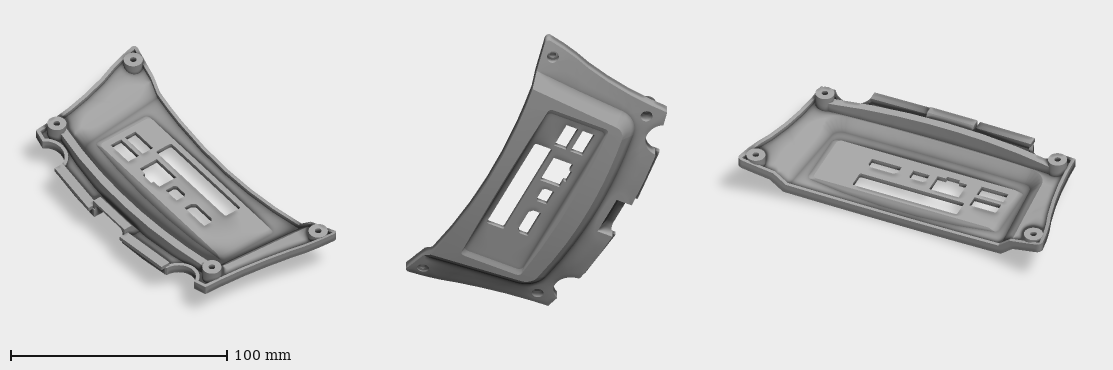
import cadquery as cq


SKIN = 2.3
RIM_WIDTH = 1.7
RIM_HEIGHT = 2.3
FILL_TOP = 46.1
SIDE_REACH = 92.2
FRONT_REACH = -7.7
BACK_REACH = 92.2

BACK_CORNER = (-77.1, 77.7)
BACK_MID_Y = 70.5
SIDE_UPPER_MID = (-75.1, 66.0)
SIDE_INFLECTION = (-71.3, 53.1)
SIDE_LOWER_MID = (-66.2, 29.3)
FRONT_CORNER = (-64.4, 9.7)
NOTCH_START = (-57.5, 8.3)
NOTCH_TOP = (-49.8, 13.0)
NOTCH_END = (-41.3, 4.9)
CORNER_RADIUS = 1.8

WING_FRONT_Z = 5.0
WING_FRONT_RADIUS = 422.5
WING_BEND_Y = 18.5
WING_BACK_Y = 76.8
WING_BACK_Z = 1.0
WING_BACK_RADIUS = 224.3

TROUGH_RADIUS = 399.4
TROUGH_TAPER = 47.0
TROUGH_WALL_DROP = 3.4
TROUGH_PLUG_Z = 1.5
TROUGH_PLUG_HEIGHT = 13.8
TROUGH_FRONT_X = 45.6
TROUGH_BACK_X = 48.8
TROUGH_BACK_Y = 72.2
TROUGH_FRONT_Y = 22.9
TROUGH_CORNER_Y = 29.0
TROUGH_CORNER_RADIUS = 1.5

PANEL_CENTRE_Y = 47.0
PANEL_TOP_Z = 6.1
PANEL_TOP = (91.2, 29.5)
PANEL_BASE = (129.0, 36.5)
PANEL_CORNER = 2.3

LONG_SLOT = (-26.1, 26.7, 50.2, 59.1)
LONG_SLOT_CORNER = 0.9
DOUBLE_PORTS = [(-42.2, -28.7, 44.5, 50.7), (-42.2, -28.7, 36.3, 42.4)]
NETWORK_PORT = (-22.0, -7.0, 37.6, 47.6)
NETWORK_LATCH = (-17.8, -11.2, 36.3, 37.6)
SMALL_PORT = (-3.4, 4.9, 38.5, 44.2)
SMALL_PORT_CORNER = 1.0
VIDEO_PORT = (10.8, 25.8, 38.5, 44.2)
VIDEO_PORT_CORNER = 1.7

BOSS_POSITIONS = [(70.2, 71.0), (58.8, 17.7)]
BOSS_DIAMETER = 8.9
BOSS_TOP_Z = 18.6
SCREW_HOLE = 3.0
SCREW_HEAD = 5.5
SCREW_SEAT_Z = 13.8

RIB_TOP_Z = 15.7
RIB_WIDTH = 4.0
RIB_FRONT_MID_Y = 11.4
RIB_FRONT_END_Y = 17.0
RIB_HALF_LENGTH = 56.0

HOOK_OUTER = (40.5, 2.3)
HOOK_INNER = (11.8, 0.0)
HOOK_DEPTH = 4.8
HOOK_OVERHANG = 2.2
HOOK_BOTTOM = 4.1
HOOK_TOP = 6.3

HOOD_WIDTH = 23.7
HOOD_WALL = 1.4
HOOD_FRONT_Y = 2.8
HOOD_RIDGE_Y = 6.9
HOOD_BACK_Y = 11.4
HOOD_TOP_Z = 14.6
HOOD_BACK_Z = 8.5
HOOD_CORNER = 2.5


def arc_height(x, low_z, radius):
    """Height at x of an upward-curving arc whose lowest point is at low_z."""
    return low_z + radius - (radius**2 - x**2) ** 0.5


def above_arc(y, low_z, radius):
    """Wire at y enclosing everything above an arc."""
    end_z = arc_height(SIDE_REACH, low_z, radius)
    return (
        cq.Workplane("XZ", origin=(0, y, 0))
        .moveTo(-SIDE_REACH, end_z)
        .threePointArc((0, low_z), (SIDE_REACH, end_z))
        .lineTo(SIDE_REACH, FILL_TOP)
        .lineTo(-SIDE_REACH, FILL_TOP)
        .close()
        .val()
    )


def ruled(first, second):
    return cq.Workplane(cq.Solid.makeLoft([first, second], True))


def above_wings():
    front = above_arc(FRONT_REACH, WING_FRONT_Z, WING_FRONT_RADIUS)
    bend = above_arc(WING_BEND_Y, WING_FRONT_Z, WING_FRONT_RADIUS)
    back = above_arc(WING_BACK_Y, WING_BACK_Z, WING_BACK_RADIUS)
    end = above_arc(BACK_REACH, WING_BACK_Z, WING_BACK_RADIUS)
    return ruled(front, bend).union(ruled(bend, back)).union(ruled(back, end))


def above_trough():
    return ruled(
        above_arc(FRONT_REACH, 0, TROUGH_RADIUS),
        above_arc(BACK_REACH, 0, TROUGH_RADIUS),
    )


def trough_plug():
    """Block with sloped walls that opens past the back edge."""
    lean = (TROUGH_BACK_X - TROUGH_FRONT_X) / (TROUGH_BACK_Y - TROUGH_CORNER_Y)
    end_x = TROUGH_FRONT_X + lean * (BACK_REACH - TROUGH_CORNER_Y)
    footprint = (
        cq.Workplane("XY", origin=(0, 0, TROUGH_PLUG_Z))
        .moveTo(-TROUGH_FRONT_X, TROUGH_CORNER_Y)
        .threePointArc((0, TROUGH_FRONT_Y), (TROUGH_FRONT_X, TROUGH_CORNER_Y))
        .lineTo(end_x, BACK_REACH)
        .lineTo(-end_x, BACK_REACH)
        .close()
    )
    straight_block = footprint.extrude(TROUGH_PLUG_HEIGHT)
    rounded_base = straight_block.edges("|Z").fillet(TROUGH_CORNER_RADIUS).faces("<Z").wires()
    return rounded_base.toPending().extrude(TROUGH_PLUG_HEIGHT, taper=-TROUGH_TAPER)


def mirrored_x(point):
    return (-point[0], point[1])


def outline():
    """Plan shape of the part, before its back corners are rounded."""
    hook_root_outer = (-HOOK_OUTER[0], HOOK_OUTER[1] + HOOK_OVERHANG)
    front_mid = (0, HOOK_INNER[1] + HOOK_OVERHANG)
    return (
        cq.Workplane("XY")
        .moveTo(*BACK_CORNER)
        .threePointArc(SIDE_UPPER_MID, SIDE_INFLECTION)
        .threePointArc(SIDE_LOWER_MID, FRONT_CORNER)
        .lineTo(*NOTCH_START)
        .threePointArc(NOTCH_TOP, NOTCH_END)
        .lineTo(*hook_root_outer)
        .threePointArc(front_mid, mirrored_x(hook_root_outer))
        .lineTo(*mirrored_x(NOTCH_END))
        .threePointArc(mirrored_x(NOTCH_TOP), mirrored_x(NOTCH_START))
        .lineTo(*mirrored_x(FRONT_CORNER))
        .threePointArc(mirrored_x(SIDE_LOWER_MID), mirrored_x(SIDE_INFLECTION))
        .threePointArc(mirrored_x(SIDE_UPPER_MID), mirrored_x(BACK_CORNER))
        .threePointArc((0, BACK_MID_Y), BACK_CORNER)
        .close()
    )


def shell():
    """Skin with a rim along its edge, and the solid block that bounds it from below."""
    wings = above_wings()
    trough = above_trough()
    plug = trough_plug()
    prism = outline().extrude(FILL_TOP).edges("|Z and (<X or >X)").fillet(CORNER_RADIUS)
    inset_prism = outline().offset2D(-RIM_WIDTH).extrude(FILL_TOP)

    outer = wings.union(trough.intersect(plug.translate((0, 0, -TROUGH_WALL_DROP)))).intersect(prism)
    lift = (0, 0, SKIN)
    inner = wings.translate(lift).union(trough.translate(lift).intersect(plug))
    skin = outer.cut(inner.intersect(inset_prism)).cut(inner.translate((0, 0, RIM_HEIGHT)))
    return skin, outer


def panel_block():
    """Flat-topped block with sloped sides, filling the panel's bulge."""
    base = cq.Sketch().rect(*PANEL_BASE).vertices().fillet(PANEL_CORNER)
    top = cq.Sketch().rect(*PANEL_TOP).vertices().fillet(PANEL_CORNER)
    return (
        cq.Workplane("XY", origin=(0, PANEL_CENTRE_Y, 0))
        .placeSketch(base, top.moved(cq.Location(cq.Vector(0, 0, PANEL_TOP_Z))))
        .loft()
    )


def opening(bounds):
    left, right, bottom, top = bounds
    return (
        cq.Workplane("XY")
        .center((left + right) / 2, (bottom + top) / 2)
        .rect(right - left, top - bottom)
        .extrude(FILL_TOP)
    )


def openings():
    cuts = opening(LONG_SLOT).edges("|Z").fillet(LONG_SLOT_CORNER)
    for bounds in DOUBLE_PORTS + [NETWORK_PORT, NETWORK_LATCH]:
        cuts = cuts.union(opening(bounds))
    cuts = cuts.union(opening(SMALL_PORT).edges("|Z and >Y").chamfer(SMALL_PORT_CORNER))
    return cuts.union(opening(VIDEO_PORT).edges("|Z and >Y").chamfer(VIDEO_PORT_CORNER))


def boss_points():
    return [(side * x, y) for x, y in BOSS_POSITIONS for side in (-1, 1)]


def bosses():
    return cq.Workplane("XY").pushPoints(boss_points()).circle(BOSS_DIAMETER / 2).extrude(BOSS_TOP_Z)


def screw_holes():
    centres = cq.Workplane("XY").pushPoints(boss_points())
    return centres.circle(SCREW_HOLE / 2).extrude(FILL_TOP).union(
        centres.circle(SCREW_HEAD / 2).extrude(SCREW_SEAT_Z)
    )


def rib():
    front_end = (RIB_HALF_LENGTH, RIB_FRONT_END_Y)
    back_end = (RIB_HALF_LENGTH, RIB_FRONT_END_Y + RIB_WIDTH)
    return (
        cq.Workplane("XY")
        .moveTo(*mirrored_x(front_end))
        .threePointArc((0, RIB_FRONT_MID_Y), front_end)
        .lineTo(*back_end)
        .threePointArc((0, RIB_FRONT_MID_Y + RIB_WIDTH), mirrored_x(back_end))
        .close()
        .extrude(RIB_TOP_Z)
    )


def hook_section(tip):
    x, tip_y = tip
    underside = arc_height(x, WING_FRONT_Z, WING_FRONT_RADIUS)
    back_y = tip_y + HOOK_DEPTH
    corners = [(tip_y, HOOK_BOTTOM), (tip_y, HOOK_TOP), (back_y, HOOK_TOP), (back_y, HOOK_BOTTOM)]
    return cq.Wire.makePolygon([cq.Vector(x, y, underside + z) for y, z in corners], close=True)


def hooks():
    right = ruled(hook_section(HOOK_INNER), hook_section(HOOK_OUTER))
    return right.union(right.mirror("YZ"))


def hood_profile(front_y, inset):
    """Side profile of the hood, shrunk by inset at its top and back."""
    return (
        cq.Workplane("YZ")
        .moveTo(front_y, 0)
        .lineTo(front_y, HOOD_TOP_Z - inset)
        .lineTo(HOOD_RIDGE_Y - inset / 2, HOOD_TOP_Z - inset)
        .lineTo(HOOD_BACK_Y - inset, HOOD_BACK_Z - inset / 2)
        .lineTo(HOOD_BACK_Y - inset, 0)
        .close()
    )


def hood():
    return hood_profile(HOOD_FRONT_Y, 0).extrude(HOOD_WIDTH / 2, both=True)


def hood_opening():
    block = hood_profile(FRONT_REACH, HOOD_WALL).extrude(HOOD_WIDTH / 2 - HOOD_WALL, both=True)
    return block.faces(">Z").edges("|Y").fillet(HOOD_CORNER)


skin, outer = shell()
panel = panel_block()
result = skin.union(panel.union(bosses()).union(rib()).union(hood()).intersect(outer))
result = result.cut(panel.translate((0, 0, -SKIN)))
result = result.union(hooks()).cut(hood_opening())
result = result.cut(openings()).cut(screw_holes())